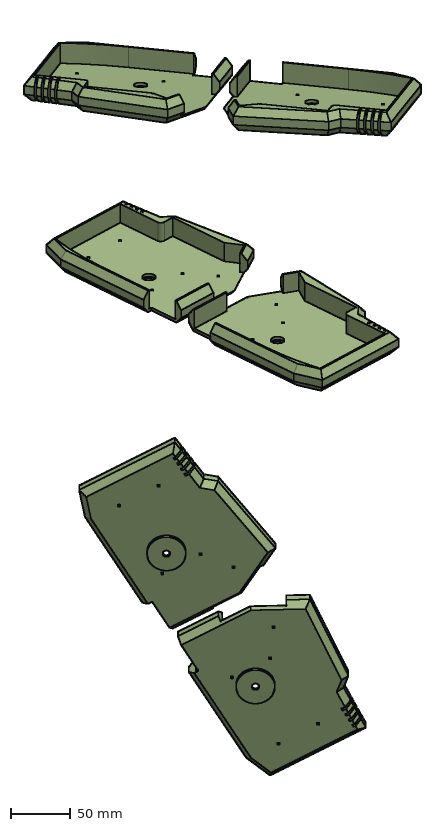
import cadquery as cq
import math

outer_x = -160.8
inner_x = -4.35
back_y = 61.9
front_y = -61.9
height = 21.2

bevel_height = 6.8
bevel_inset = 5.5
wall = 6.8
floor_thickness = 3.0

side_back_y = 53.0
back_corner_x = -135.7
slant_back_y = -17.0
nose_x = -28.8
step_outer = (-109.7, -52.7)
step_inner = (-117.7, -43.5)
side_front_y = -40.2

cavity_outer_x = outer_x + wall
cavity_back_y = back_y - wall
back_arc_start_x = -96.5
cavity_side_back_y = 49.0
grip_land_y = -30.2
land_step_x = -106.8
front_land_y = -44.7
front_land_end_x = -47.0
land_tip = (-32.0, -53.5)
land_corner_radius = 4.0

back_wall_end_x = -39.0
back_notch_y = 52.5
tab_front_y = 13.0
slant_wall_length = 20.0

slot_count = 4
first_slot_x = -150.5
slot_pitch = 6.0
slot_width = 2.0
slot_end_y = -33.5

screw_hole_diameter = 2.0
screw_hole_centers = [(-134.0, 29.5), (-134.0, -9.0), (-58.5, 31.2), (-58.5, -6.0), (-33.8, -23.8)]
boss_center = (-75.0, 17.7)
boss_diameter = 32.8
boss_height = 3.0
bore_diameter = 6.0
counterbore_diameter = 11.3


def unit_vector(start, end):
    length = math.dist(start, end)
    return ((end[0] - start[0]) / length, (end[1] - start[1]) / length)


slant_direction = unit_vector((nose_x, front_y), (inner_x, slant_back_y))


def slant_point(along, inward):
    """Point at a distance along the slanted side from the nose and a distance inward from it."""
    ux, uy = slant_direction
    return (nose_x + along * ux - inward * uy, front_y + along * uy + inward * ux)


def inset_corner(before, corner, after, inset):
    """Corner of the outline after both of its sides have moved inward by the same inset."""
    ux, uy = unit_vector(before, corner)
    vx, vy = unit_vector(corner, after)
    shift = inset / (1 + ux * vx + uy * vy)
    return (corner[0] + shift * (uy + vy), corner[1] - shift * (ux + vx))


def outer_outline(z, inset):
    """Closed outline, listed clockwise, at a height and moved inward by an inset."""
    corners = [
        (outer_x, side_front_y),
        (outer_x, side_back_y),
        (back_corner_x, back_y),
        (inner_x, back_y),
        (inner_x, slant_back_y),
        (nose_x, front_y),
        step_outer,
        step_inner,
    ]
    followers = corners[1:] + corners[:1]
    leaders = corners[-1:] + corners[:-1]
    return cq.Wire.makePolygon(
        [
            cq.Vector(*inset_corner(before, corner, after, inset), z)
            for before, corner, after in zip(leaders, corners, followers)
        ],
        close=True,
    )


def bevelled_block():
    """Upright band between two bevels with mitred corners."""
    bottom = outer_outline(0, bevel_inset)
    band_bottom = outer_outline(bevel_height, 0)
    band_top = outer_outline(height - bevel_height, 0)
    top = outer_outline(height, bevel_inset)
    lower_bevel = cq.Solid.makeLoft([bottom, band_bottom], True)
    band = cq.Solid.makeLoft([band_bottom, band_top], True)
    upper_bevel = cq.Solid.makeLoft([band_top, top], True)
    return cq.Workplane("XY").add(lower_bevel).union(cq.Workplane(band)).union(cq.Workplane(upper_bevel))


def cavity():
    """Space above the floor; its back wall bends towards the outer side along a tangent arc."""
    arc_run = back_arc_start_x - cavity_outer_x
    arc_drop = cavity_back_y - cavity_side_back_y
    arc_radius = (arc_run**2 + arc_drop**2) / (2 * arc_drop)
    half_angle = math.asin(arc_run / arc_radius) / 2
    arc_middle = (
        back_arc_start_x - arc_radius * math.sin(half_angle),
        cavity_back_y - arc_radius * (1 - math.cos(half_angle)),
    )
    slant_back_inner_x = inner_x - wall
    line_x, line_y = slant_point(0, wall)
    slant_back_inner_y = line_y + (slant_back_inner_x - line_x) * slant_direction[1] / slant_direction[0]
    outline = (
        cq.Workplane("XY", origin=(0, 0, floor_thickness))
        .moveTo(slant_back_inner_x, cavity_back_y)
        .lineTo(back_arc_start_x, cavity_back_y)
        .threePointArc(arc_middle, (cavity_outer_x, cavity_side_back_y))
        .lineTo(cavity_outer_x, grip_land_y)
        .lineTo(land_step_x, grip_land_y)
        .lineTo(land_step_x, front_land_y)
        .lineTo(front_land_end_x, front_land_y)
        .lineTo(*land_tip)
        .lineTo(slant_back_inner_x, slant_back_inner_y)
        .close()
    )
    space = outline.extrude(height - floor_thickness)
    land_corner = cq.selectors.NearestToPointSelector((land_step_x, grip_land_y, height / 2))
    return space.edges("|Z").edges(land_corner).fillet(land_corner_radius)


def back_notch():
    """Open stretch of the back edge, cut through the floor as well."""
    return cq.Workplane("XY").box(
        inner_x - back_wall_end_x, back_y - back_notch_y, height, centered=False
    ).translate((back_wall_end_x, back_notch_y, 0))


def inner_side_opening():
    """Removes the rim above the floor between the end tab and the short slanted wall."""
    return (
        cq.Workplane("XY", origin=(0, 0, floor_thickness))
        .polyline([
            slant_point(slant_wall_length, wall),
            slant_point(slant_wall_length, 0),
            (inner_x, slant_back_y),
            (inner_x, tab_front_y),
            (inner_x - wall, tab_front_y),
        ])
        .close()
        .extrude(height - floor_thickness)
    )


def grip_slots():
    slot_length = slot_end_y - front_y
    slot_centers = [
        (first_slot_x + i * slot_pitch, slot_end_y - slot_length / 2) for i in range(slot_count)
    ]
    return cq.Workplane("XY").pushPoints(slot_centers).rect(slot_width, slot_length).extrude(height)


def screw_holes():
    return (
        cq.Workplane("XY")
        .pushPoints(screw_hole_centers)
        .circle(screw_hole_diameter / 2)
        .extrude(floor_thickness)
    )


def boss():
    return cq.Workplane("XY").center(*boss_center).circle(boss_diameter / 2).extrude(-boss_height)


def boss_bore():
    """Bore through the boss, widened through the floor."""
    bore = cq.Workplane("XY").center(*boss_center).circle(bore_diameter / 2).extrude(-boss_height)
    counterbore = (
        cq.Workplane("XY").center(*boss_center).circle(counterbore_diameter / 2).extrude(floor_thickness)
    )
    return bore.union(counterbore)


def shell(mirrored):
    """One half on the -X side, or its mirror image on the +X side."""
    half = (
        bevelled_block()
        .cut(cavity())
        .cut(back_notch())
        .cut(inner_side_opening())
        .cut(grip_slots())
        .cut(screw_holes())
        .union(boss())
        .cut(boss_bore())
    )
    return half.mirror("YZ") if mirrored else half


shells = [shell(mirrored).val() for mirrored in (False, True)]

result = cq.Compound.makeCompound([*shells])